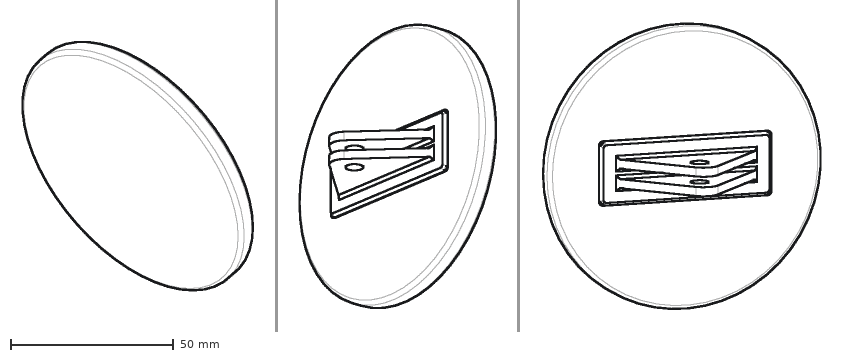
import cadquery as cq
import math

disc_diameter = 88.9
disc_thickness = 6.4
disc_edge_radius = 1.3

plate_length = 56.0
plate_width = 20.3
plate_thickness = 1.3
plate_chamfer = 1.1
plate_corner_radius = 1.5

total_depth = 29.25
lug_thickness = 2.85
lug_gap = 3.3
lug_base_half_length = 22.9
lug_tip_radius = 5.0
lug_root_chamfer = 1.1
lug_hole_diameter = 5.5
lug_hole_height = 12.9

plate_back = disc_thickness + plate_thickness
lug_height = total_depth - plate_back
lug_offset = (lug_gap + lug_thickness) / 2


def make_disc():
    """Disc with both rims rounded."""
    return (
        cq.Workplane("XZ")
        .circle(disc_diameter / 2)
        .extrude(-disc_thickness)
        .edges()
        .fillet(disc_edge_radius)
    )


def make_plate():
    """Base plate with a chamfered back rim and rounded corners."""
    return (
        cq.Workplane("XZ", origin=(0, disc_thickness, 0))
        .rect(plate_length, plate_width)
        .extrude(-plate_thickness)
        .faces(">Y")
        .chamfer(plate_chamfer)
        .edges("not(#Y)")
        .fillet(plate_corner_radius)
    )


def make_lug_outline():
    """Triangle with a round tip and a pin hole, extruded through both lugs."""
    tip_center = lug_height - lug_tip_radius
    corner_to_center = math.hypot(lug_base_half_length, tip_center)
    slope = math.atan2(tip_center, lug_base_half_length) + math.asin(lug_tip_radius / corner_to_center)
    tangent_x = lug_tip_radius * math.sin(slope)
    tangent_y = plate_back + tip_center + lug_tip_radius * math.cos(slope)
    return (
        cq.Workplane("XY")
        .moveTo(-lug_base_half_length, plate_back)
        .lineTo(lug_base_half_length, plate_back)
        .lineTo(tangent_x, tangent_y)
        .threePointArc((0, total_depth), (-tangent_x, tangent_y))
        .close()
        .moveTo(0, plate_back + lug_hole_height)
        .circle(lug_hole_diameter / 2)
        .extrude(plate_width / 2, both=True)
    )


def make_lug_slab(center_z):
    """Slab as thick as one lug, flaring into the plate through a 45 degree root chamfer."""
    half_thickness = lug_thickness / 2
    root_half = half_thickness + lug_root_chamfer
    root_top = plate_back + lug_root_chamfer
    return (
        cq.Workplane("YZ", origin=(0, 0, center_z))
        .moveTo(plate_back, -root_half)
        .lineTo(root_top, -half_thickness)
        .lineTo(total_depth, -half_thickness)
        .lineTo(total_depth, half_thickness)
        .lineTo(root_top, half_thickness)
        .lineTo(plate_back, root_half)
        .close()
        .extrude(lug_base_half_length, both=True)
    )


def make_bracket():
    """Base plate and its two lugs as one solid."""
    bracket = make_plate()
    for center_z in (-lug_offset, lug_offset):
        lug = make_lug_slab(center_z).intersect(make_lug_outline())
        bracket = bracket.union(lug)
    return bracket


disc = make_disc()
bracket = make_bracket()
result = cq.Compound.makeCompound([disc.val(), *bracket.solids().vals()])